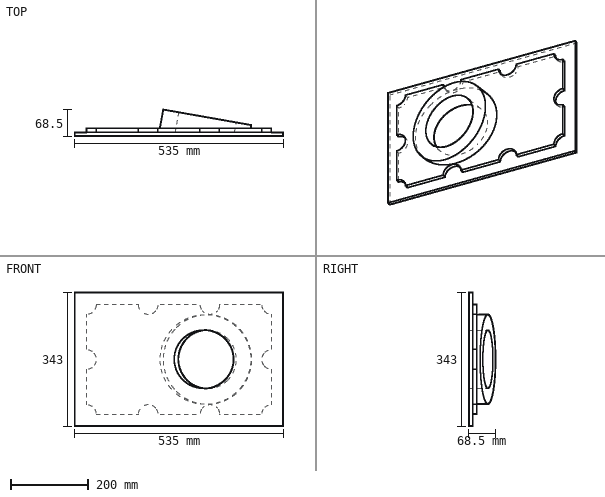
import cadquery as cq
import math

plate_width = 535.0
plate_height = 343.0
plate_thickness = 9.5

pad_width = 475.0
pad_height = 282.0
pad_thickness = 10.5
scallop_radius = 25.0
scallop_columns = 3
scallop_rows = 2

collar_diameter = 230.0
bore_diameter = 150.0
collar_tilt = 10.0
overall_depth = 68.5
collar_x = 64.0

tilt = math.radians(collar_tilt)
collar_radius = collar_diameter / 2
collar_length = (overall_depth - collar_radius * math.sin(tilt)) / math.cos(tilt)
cut_length = 2 * overall_depth


def slab(width, height, thickness, start_y):
    """Rectangular slab centred on the Y axis, growing from start_y toward +Y."""
    return cq.Workplane("XY").box(width, thickness, height).translate(
        (0, start_y + thickness / 2, 0)
    )


def scallop_centres():
    """Evenly spaced points around the pad's outline, corners included."""
    centres = []
    for column in range(scallop_columns + 1):
        for row in range(scallop_rows + 1):
            on_side = column in (0, scallop_columns)
            on_top_or_bottom = row in (0, scallop_rows)
            if on_side or on_top_or_bottom:
                x = (column / scallop_columns - 0.5) * pad_width
                z = (row / scallop_rows - 0.5) * pad_height
                centres.append((x, z))
    return centres


def make_pad():
    pad = slab(pad_width, pad_height, pad_thickness, plate_thickness)
    for x, z in scallop_centres():
        cutter = cq.Solid.makeCylinder(
            scallop_radius, pad_thickness, cq.Vector(x, plate_thickness, z), cq.Vector(0, 1, 0)
        )
        pad = pad.cut(cq.Workplane(cutter))
    return pad


def tilted_cylinder(diameter, start, end):
    """Cylinder along the collar axis, between distances start and end from the plain face."""
    direction = cq.Vector(math.sin(tilt), math.cos(tilt), 0)
    origin = cq.Vector(collar_x, 0, 0) + direction * start
    return cq.Workplane(cq.Solid.makeCylinder(diameter / 2, end - start, origin, direction))


def make_collar():
    """Collar run past the plate, then trimmed inside the plate's thickness."""
    collar = tilted_cylinder(collar_diameter, -cut_length, collar_length)
    trim = slab(plate_width, plate_height, overall_depth, plate_thickness / 2)
    return collar.intersect(trim)


plate = slab(plate_width, plate_height, plate_thickness, 0)
bore = tilted_cylinder(bore_diameter, -cut_length, cut_length)
result = plate.union(make_pad()).union(make_collar()).cut(bore)